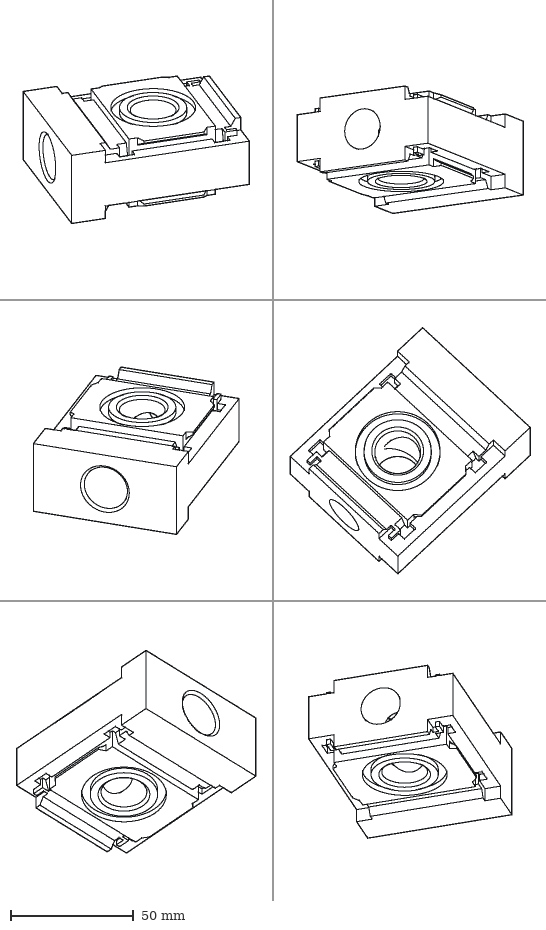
import cadquery as cq

WIDTH = 62.0
LENGTH = 76.5
HEIGHT = 31.05
SLAB_THICKNESS = 19.7

HALF_WIDTH = WIDTH / 2
BACK_Y = HALF_WIDTH
FRONT_Y = BACK_Y - LENGTH
HEAD_Y = -HALF_WIDTH
TOP_Z = HEIGHT / 2
SLAB_Z = SLAB_THICKNESS / 2

FLOOR_Z = 12.2
INSERT_HALF_WIDTH = 24.25

RAIL_TOP_Y = 28.5
RAIL_FOOT_Y = 26.6
BACK_RAIL_HALF_WIDTH = 20.1

HOOK_INNER_X = 22.5
HOOK_TIP_Y = 28.0
HOOK_ROOT_Y = 24.0

PAD_HALF_LENGTH = 18.6

CATCH_REACH = 2.4
CATCH_ROOT_HALF_LENGTH = 14.9
CATCH_TIP_HALF_LENGTH = 12.85
CATCH_TIP_TOP_Z = 14.85
CATCH_TIP_BOTTOM_Z = 13.85
CATCH_BEND_REACH = 0.6
CATCH_BEND_Z = 12.85

POCKET_FLOOR_Z = 7.0
POCKET_OUTER_X = 27.55
POCKET_NEAR_Y = 17.2
POCKET_FAR_Y = 23.8
NOTCH_FAR_Y = 22.65
NOTCH_FLOOR_X = 22.5
NOTCH_TOP_X = 20.9

BORE_DIAMETER = 18.7
BACK_PORT_DIAMETER = 16.8
BORE_CHAMFER = 1.2
RING_OUTER_DIAMETER = 34.6
RING_INNER_DIAMETER = 27.5
RING_DEPTH = 2.45


def box_between(x0, x1, y0, y1, z0, z1):
    """Axis-aligned box spanning the given limits."""
    return cq.Workplane("XY").box(x1 - x0, y1 - y0, z1 - z0, centered=False).translate((x0, y0, z0))


def with_x_mirror(body):
    """The body together with its mirror image across the YZ plane."""
    return body.union(body.mirror("YZ"))


def make_floor_and_rails():
    """Raised floor with the front rail joined to the head block and the narrower back rail."""
    profile = [
        (HEAD_Y, 0),
        (HEAD_Y, TOP_Z),
        (-RAIL_TOP_Y, TOP_Z),
        (-RAIL_FOOT_Y, FLOOR_Z),
        (RAIL_FOOT_Y, FLOOR_Z),
        (RAIL_TOP_Y, TOP_Z),
        (BACK_Y, TOP_Z),
        (BACK_Y, 0),
    ]
    rails = cq.Workplane("YZ").polyline(profile).close().extrude(INSERT_HALF_WIDTH, both=True)
    hook_outline = [
        (BACK_RAIL_HALF_WIDTH, BACK_Y),
        (BACK_RAIL_HALF_WIDTH, HOOK_ROOT_Y),
        (HOOK_INNER_X, HOOK_ROOT_Y),
        (HOOK_INNER_X, HOOK_TIP_Y),
        (INSERT_HALF_WIDTH, HOOK_TIP_Y),
        (INSERT_HALF_WIDTH, BACK_Y),
    ]
    beside_rail = cq.Workplane("XY").workplane(offset=SLAB_Z).polyline(hook_outline).close()
    beside_rail = beside_rail.extrude(TOP_Z - SLAB_Z)
    above_hook = box_between(
        BACK_RAIL_HALF_WIDTH, INSERT_HALF_WIDTH, HOOK_ROOT_Y, BACK_Y, FLOOR_Z, TOP_Z
    )
    return rails.cut(with_x_mirror(beside_rail)).cut(with_x_mirror(above_hook))


def make_pad():
    """Full-height block around the vertical bore."""
    return box_between(
        -INSERT_HALF_WIDTH, INSERT_HALF_WIDTH, -PAD_HALF_LENGTH, PAD_HALF_LENGTH, 0, TOP_Z
    )


def make_catch():
    """Catch on the +X side of the pad: a ridge profile trimmed to a trapezoid in plan."""
    tip_x = INSERT_HALF_WIDTH + CATCH_REACH
    profile = [
        (INSERT_HALF_WIDTH, TOP_Z),
        (tip_x, CATCH_TIP_TOP_Z),
        (tip_x, CATCH_TIP_BOTTOM_Z),
        (INSERT_HALF_WIDTH + CATCH_BEND_REACH, CATCH_BEND_Z),
        (INSERT_HALF_WIDTH, FLOOR_Z),
    ]
    plan = [
        (INSERT_HALF_WIDTH, -CATCH_ROOT_HALF_LENGTH),
        (tip_x, -CATCH_TIP_HALF_LENGTH),
        (tip_x, CATCH_TIP_HALF_LENGTH),
        (INSERT_HALF_WIDTH, CATCH_ROOT_HALF_LENGTH),
    ]
    ridge = cq.Workplane("XZ").polyline(profile).close().extrude(CATCH_ROOT_HALF_LENGTH, both=True)
    return ridge.intersect(cq.Workplane("XY").polyline(plan).close().extrude(TOP_Z))


def make_corner_pocket():
    """Pocket in the slab at the +X +Y pad corner, with a slope-sided notch in the floor edge."""
    pocket = box_between(
        INSERT_HALF_WIDTH, POCKET_OUTER_X, POCKET_NEAR_Y, POCKET_FAR_Y, POCKET_FLOOR_Z, SLAB_Z
    )
    profile = [
        (INSERT_HALF_WIDTH, POCKET_FLOOR_Z),
        (NOTCH_FLOOR_X, POCKET_FLOOR_Z),
        (NOTCH_TOP_X, FLOOR_Z),
        (INSERT_HALF_WIDTH, FLOOR_Z),
    ]
    notch = (
        cq.Workplane("XZ", origin=(0, PAD_HALF_LENGTH, 0))
        .polyline(profile)
        .close()
        .extrude(PAD_HALF_LENGTH - NOTCH_FAR_Y)
    )
    return pocket.union(notch)


def make_ring_groove():
    """Ring-shaped groove in the top of the pad."""
    return (
        cq.Workplane("XY")
        .workplane(offset=TOP_Z - RING_DEPTH)
        .circle(RING_OUTER_DIAMETER / 2)
        .circle(RING_INNER_DIAMETER / 2)
        .extrude(RING_DEPTH)
    )


def make_countersink(face_plane):
    """Cone that chamfers the mouth of a bore; face_plane points out of the part."""
    return face_plane.circle(BORE_DIAMETER / 2 + BORE_CHAMFER).extrude(-2 * BORE_CHAMFER, taper=45)


def make_upper_half():
    """Everything above the XY plane except the bores."""
    slab = box_between(-HALF_WIDTH, HALF_WIDTH, HEAD_Y, BACK_Y, 0, SLAB_Z)
    head = box_between(-HALF_WIDTH, HALF_WIDTH, FRONT_Y, HEAD_Y, 0, TOP_Z)
    body = slab.union(head).union(make_floor_and_rails()).union(make_pad())
    body = body.union(with_x_mirror(make_catch()))
    pockets = with_x_mirror(make_corner_pocket())
    body = body.cut(pockets).cut(pockets.mirror("XZ"))
    mouth = make_countersink(cq.Workplane("XY", origin=(0, 0, TOP_Z)))
    return body.cut(make_ring_groove()).cut(mouth)


upper_half = make_upper_half()
housing = upper_half.union(upper_half.mirror("XY"))

vertical_bore = cq.Workplane("XY").circle(BORE_DIAMETER / 2).extrude(TOP_Z, both=True)
front_port = cq.Workplane("XZ").circle(BORE_DIAMETER / 2).extrude(-FRONT_Y)
back_port = cq.Workplane("XZ", origin=(0, BACK_Y, 0)).circle(BACK_PORT_DIAMETER / 2).extrude(LENGTH)
stepped_port = back_port.union(front_port)
front_mouth = make_countersink(cq.Workplane("XZ", origin=(0, FRONT_Y, 0)))

result = housing.cut(vertical_bore).cut(stepped_port).cut(front_mouth)